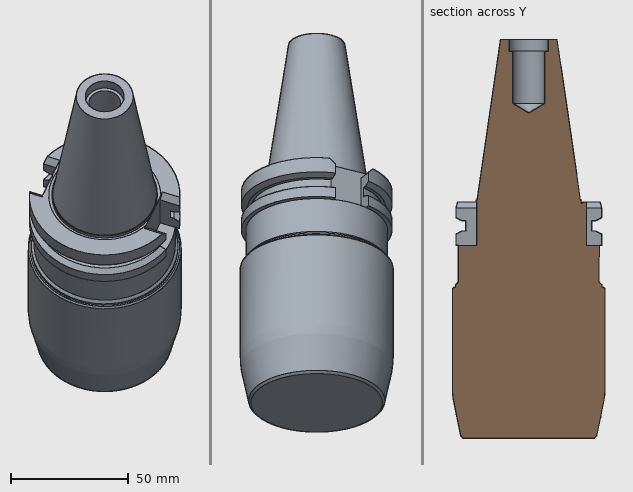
import cadquery as cq
import math

total_height = 169.2
flange_top = 100.4
flange_bottom = 82.0
body_top = 64.1
nose_blend_top = 21.3
nose_blend_bottom = 16.8

body_radius = 65.0 / 2
body_edge_chamfer = 0.7
cone_top_radius = 32.2
nose_radius = 29.0
nose_chamfer = 1.0
blend_bulge = 0.08

neck_radius = 60.0 / 2
collar_top = 66.3
collar_radius = 31.1
collar_bottom = 65.2

flange_radius = 64.0 / 2
groove_radius = 55.9 / 2
groove_upper_edge = 93.6
groove_lower_edge = 86.7
groove_floor_top = 92.2
groove_floor_bottom = 88.0
groove_lip_radius = 29.5

taper_base_radius = 44.0 / 2
taper_base_height = 101.2
taper_slope = 7 / 24 / 2
taper_tip_radius = taper_base_radius - taper_slope * (total_height - taper_base_height)
spigot_radius = 44.7 / 2
relief_radius = 47.5 / 2
relief_depth = 0.7

counterbore_radius = 16.5 / 2
counterbore_depth = 4.9
bore_radius = 13.5 / 2
bore_depth = 27.0
drill_point_angle = 118.0

slot_width = 15.9
slot_mouth_width = 21.0
slot_floor_left = 24.5
slot_floor_right = 22.2


def turned_blank():
    blend_middle = (nose_blend_top + nose_blend_bottom) / 2
    blend_middle_radius = (body_radius + cone_top_radius) / 2 + blend_bulge
    return (
        cq.Workplane("XZ")
        .moveTo(0, 0)
        .lineTo(nose_radius - nose_chamfer, 0)
        .lineTo(nose_radius, nose_chamfer)
        .lineTo(cone_top_radius, nose_blend_bottom)
        .threePointArc((blend_middle_radius, blend_middle), (body_radius, nose_blend_top))
        .lineTo(body_radius, body_top - body_edge_chamfer)
        .lineTo(body_radius - body_edge_chamfer, body_top)
        .lineTo(collar_radius, body_top)
        .lineTo(collar_radius, collar_bottom)
        .lineTo(neck_radius, collar_top)
        .lineTo(neck_radius, flange_bottom)
        .lineTo(flange_radius, flange_bottom)
        .lineTo(flange_radius, groove_lower_edge)
        .lineTo(groove_lip_radius, groove_floor_bottom)
        .lineTo(groove_radius, groove_floor_bottom)
        .lineTo(groove_radius, groove_floor_top)
        .lineTo(groove_lip_radius, groove_floor_top)
        .lineTo(flange_radius, groove_upper_edge)
        .lineTo(flange_radius, flange_top)
        .lineTo(relief_radius, flange_top)
        .lineTo(spigot_radius, flange_top - relief_depth)
        .lineTo(spigot_radius, taper_base_height)
        .lineTo(taper_base_radius, taper_base_height)
        .lineTo(taper_tip_radius, total_height)
        .lineTo(0, total_height)
        .close()
        .revolve(360, (0, 0), (0, 1))
    )


def drawbar_bore():
    point_depth = bore_radius / math.tan(math.radians(drill_point_angle / 2))
    return (
        cq.Workplane("XZ")
        .moveTo(0, total_height)
        .lineTo(counterbore_radius, total_height)
        .lineTo(counterbore_radius, total_height - counterbore_depth)
        .lineTo(bore_radius, total_height - counterbore_depth)
        .lineTo(bore_radius, total_height - bore_depth)
        .lineTo(0, total_height - bore_depth - point_depth)
        .close()
        .revolve(360, (0, 0), (0, 1))
    )


def drive_slot(side, floor_distance):
    """Slot with 45-degree flared mouth; side is +1 for +X and -1 for -X."""
    half_width = slot_width / 2
    half_mouth = slot_mouth_width / 2
    flare_bottom = flange_top - (half_mouth - half_width)
    return (
        cq.Workplane("YZ", origin=(side * floor_distance, 0, 0))
        .moveTo(-half_width, flange_bottom)
        .lineTo(half_width, flange_bottom)
        .lineTo(half_width, flare_bottom)
        .lineTo(half_mouth, flange_top)
        .lineTo(-half_mouth, flange_top)
        .lineTo(-half_width, flare_bottom)
        .close()
        .extrude(side * body_radius)
    )


result = turned_blank().cut(drawbar_bore())
for side, floor_distance in ((-1, slot_floor_left), (1, slot_floor_right)):
    result = result.cut(drive_slot(side, floor_distance))